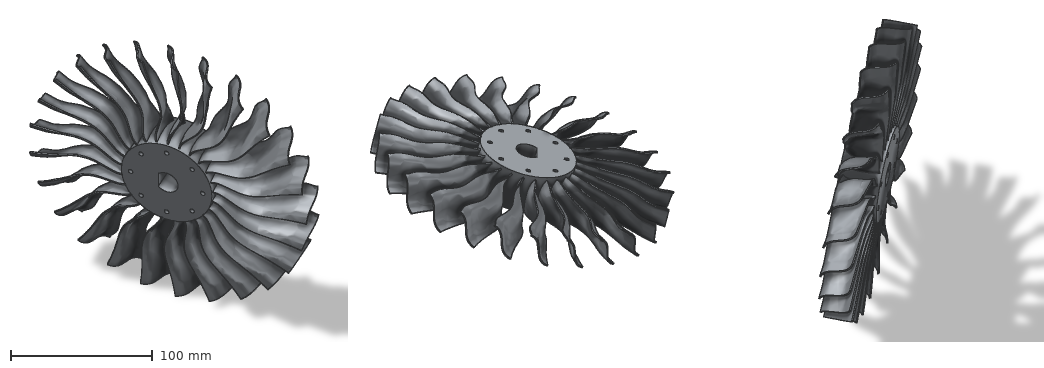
import cadquery as cq
import math

tip_radius = 107.5
hub_radius = 35.0
hub_length = 30.0

bore_radius = 8.8
flat_distance = 6.5

bolt_count = 8
bolt_circle_radius = 28.0
bolt_hole_diameter = 3.5

blade_count = 25
blade_thickness = 1.0
root_depth = 2.8
tip_allowance = 1.0
front_edge_y = -13.3
rear_edge_root_y = 12.5
rear_edge_tip_y = 8.8
taper_start_radius = 47.3
taper_end_radius = 99.0
curl_ratio = 0.7
section_positions = (-1.0, -0.5, 0.0, 0.5, 1.0)

blade_stations = [
    (hub_radius - root_depth, 1.0, -0.9, 1.5),
    (42.0, 1.3, -0.6, 0.9),
    (49.9, 5.5, 3.0, -0.9),
    (58.0, 9.5, 6.7, -2.0),
    (68.8, 11.2, 7.7, -1.5),
    (78.3, 10.3, 5.5, -1.7),
    (88.2, 8.8, 2.0, -5.8),
    (97.8, 8.0, -0.9, -9.7),
    (tip_radius + tip_allowance, 8.0, -1.5, -11.0),
]


def rear_edge_y(radius):
    """Axial place of the rear edge, easing from the root level to the tip level."""
    share = (radius - taper_start_radius) / (taper_end_radius - taper_start_radius)
    share = min(max(share, 0.0), 1.0)
    ease = share**2 * (3 - 2 * share)
    return rear_edge_root_y + (rear_edge_tip_y - rear_edge_root_y) * ease


def section_points(radius, offsets, side):
    """Points along one face of a section, front to rear, half a thickness off its centre line.

    The side is +1 or -1. The centre line is a cubic: sweep, bulge and S curl.
    """
    front_offset, middle_offset, rear_offset = offsets
    middle_y = (front_edge_y + rear_edge_y(radius)) / 2
    half_length = (rear_edge_y(radius) - front_edge_y) / 2
    sweep = (rear_offset - front_offset) / 2
    bulge = (rear_offset + front_offset) / 2 - middle_offset
    curl = curl_ratio * sweep
    points = []
    for position in section_positions:
        offset = middle_offset + sweep * position + bulge * position**2
        offset += curl * (position**3 - position)
        slope = (sweep + 2 * bulge * position + curl * (3 * position**2 - 1)) / half_length
        shift = side * blade_thickness / 2 / math.hypot(1, slope)
        y = middle_y + half_length * position
        points.append(cq.Vector(offset + shift, y - shift * slope, radius))
    return points


def section_wire(radius, *offsets):
    """Closed S-shaped blade section lying in the plane Z = radius."""
    right = section_points(radius, offsets, 1)
    left = section_points(radius, offsets, -1)
    return cq.Wire.assembleEdges([
        cq.Edge.makeSpline(right),
        cq.Edge.makeLine(right[-1], left[-1]),
        cq.Edge.makeSpline(left[::-1]),
        cq.Edge.makeLine(left[0], right[0]),
    ])


def axial_cylinder(radius, length):
    """Cylinder along the Y axis, centred on the origin."""
    return cq.Workplane("XZ", origin=(0, length / 2, 0)).circle(radius).extrude(length)


def make_blade():
    """One blade pointing along +Z, trimmed to the tip cylinder."""
    wires = [section_wire(*station) for station in blade_stations]
    blade = cq.Workplane(cq.Solid.makeLoft(wires))
    return blade.intersect(axial_cylinder(tip_radius, hub_length))


def make_bore():
    """Round bore cut off by a flat."""
    round_bore = axial_cylinder(bore_radius, hub_length)
    keep = cq.Workplane("XY").box(
        2 * bore_radius, hub_length, 2 * bore_radius
    ).translate((bore_radius - flat_distance, 0, 0))
    return round_bore.intersect(keep)


def make_bolt_holes():
    """Through holes evenly spaced on the bolt circle."""
    return (
        cq.Workplane("XZ", origin=(0, hub_length / 2, 0))
        .polarArray(bolt_circle_radius, 0, 360, bolt_count)
        .circle(bolt_hole_diameter / 2)
        .extrude(hub_length)
    )


blade = make_blade()
blades = [
    blade.rotate((0, 0, 0), (0, 1, 0), index * 360 / blade_count).val()
    for index in range(blade_count)
]

hub = axial_cylinder(hub_radius, hub_length)
hub = hub.cut(make_bore()).cut(make_bolt_holes())

result = cq.Workplane(hub.val().fuse(cq.Compound.makeCompound(blades)))